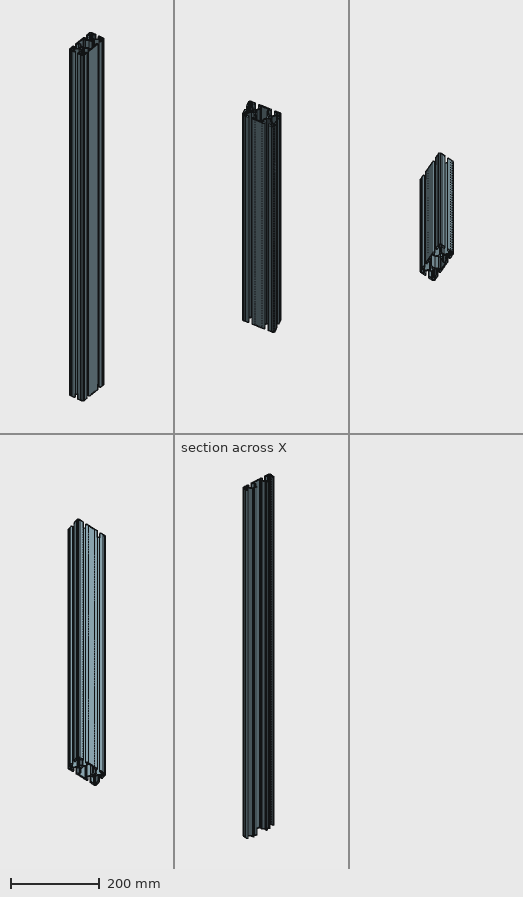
import cadquery as cq
import math

length = 1000.0
cell_side = 40.0
half_cell = cell_side / 2
corner_radius = 4.2

half_opening = 4.1
mouth_radius = 1.3
lip_thickness = 3.7
corner_block_side = 9.5
cavity_half_width = half_cell - corner_block_side
core_half_width = 4.6
web_offset = 1.6

core_hole_diameter = 6.8

corner_wall = 1.9
corner_hollow_side = 6.0
corner_hollow_cut = 2.0

side_wall = 2.5
chamber_side_half_height = 8.5
chamber_foot_x = 10.0
chamber_core_gap = 6.3

core_centers = [(0, -half_cell), (0, half_cell)]


def mirror_x(points):
    """The points mirrored across the Y axis, in reverse order so that they continue the outline."""
    return [(-x, y) for x, y in reversed(points)]


def slot_cutter():
    """T-slot that opens towards +Y in a cell centred on the origin, with a rounded mouth."""
    lip_y = half_cell - lip_thickness
    mouth_bottom_y = half_cell - mouth_radius
    mouth_edge_x = half_opening + mouth_radius
    arc_inset = mouth_radius * (1 - math.sqrt(0.5))
    arc_x = half_opening + arc_inset
    arc_y = half_cell - arc_inset
    right_side = [
        (half_opening, mouth_bottom_y),
        (half_opening, lip_y),
        (cavity_half_width, lip_y),
        (cavity_half_width, cavity_half_width + web_offset),
        (core_half_width - web_offset, core_half_width),
    ]
    return (
        cq.Workplane("XY")
        .moveTo(mouth_edge_x, half_cell)
        .threePointArc((arc_x, arc_y), right_side[0])
        .polyline(right_side[1:] + mirror_x(right_side), includeCurrent=True)
        .threePointArc((-arc_x, arc_y), (-mouth_edge_x, half_cell))
        .close()
        .extrude(length)
    )


def chamber_cutter():
    """Hollow between the cores; its slanted sides are the webs, at 45 degrees."""
    wall_x = half_cell - side_wall
    top_y = half_cell - chamber_core_gap
    top_x = chamber_foot_x - (top_y - chamber_side_half_height)
    upper_right = [
        (wall_x, chamber_side_half_height),
        (chamber_foot_x, chamber_side_half_height),
        (top_x, top_y),
    ]
    upper = upper_right + mirror_x(upper_right)
    lower = [(-x, -y) for x, y in upper]
    return cq.Workplane("XY").polyline(upper + lower).close().extrude(length)


def corner_hollow_cutter(x_sign, y_sign):
    """Square hollow in one corner, cut off diagonally towards the outer corner and the core."""
    outer = half_cell - corner_wall
    inner = outer - corner_hollow_side
    outline = [
        (inner + corner_hollow_cut, inner),
        (outer, inner),
        (outer, outer - corner_hollow_cut),
        (outer - corner_hollow_cut, outer),
        (inner, outer),
        (inner, inner + corner_hollow_cut),
    ]
    placed = [(x_sign * x, y_sign * (half_cell + y)) for x, y in outline]
    return cq.Workplane("XY").polyline(placed).close().extrude(length)


result = (
    cq.Workplane("XY")
    .rect(cell_side, 2 * cell_side)
    .extrude(length)
    .edges("|Z")
    .fillet(corner_radius)
)

for center_x, center_y in core_centers:
    outward_angle = 0 if center_y > 0 else 180
    for turn in (-90, 0, 90):
        slot = slot_cutter().rotate((0, 0, 0), (0, 0, 1), outward_angle + turn)
        result = result.cut(slot.translate((center_x, center_y, 0)))

result = result.cut(chamber_cutter())
for x_sign in (-1, 1):
    for y_sign in (-1, 1):
        result = result.cut(corner_hollow_cutter(x_sign, y_sign))

core_holes = cq.Workplane("XY").pushPoints(core_centers).circle(core_hole_diameter / 2).extrude(length)
result = result.cut(core_holes)

result = result.solids()